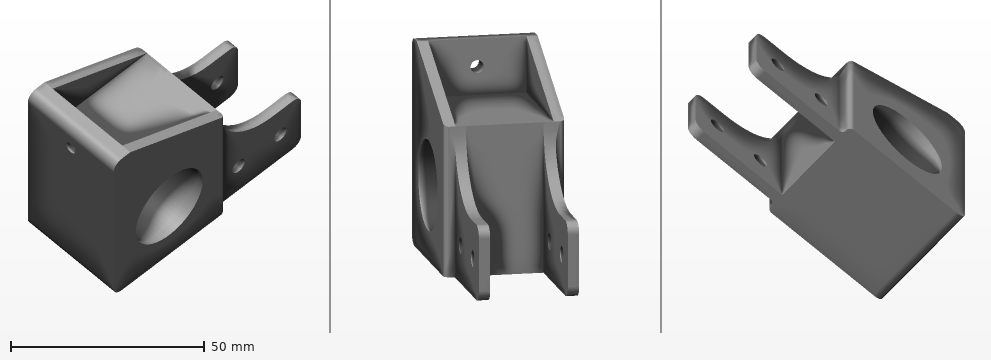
import cadquery as cq
import math

width = 32.0
length = 70.0
height = 55.0
block_length = 40.0
floor_height = 40.0
front_wall = 6.0
side_wall = 3.0
ear_thickness = 3.0
ear_gap = 20.5
ear_height = 20.0
corner_radius = 3.0
step_radius = 1.3
bore_diameter = 24.0
ear_hole_diameter = 4.4
front_hole_diameter = 3.4

ear_outer_x = ear_gap / 2 + ear_thickness
sweep_radius = floor_height - ear_height
sweep_end_y = block_length + sweep_radius
bore_y = block_length / 2
bore_z = ear_height
ear_hole_z = ear_height / 2
ear_hole_pitch = 15.0
ear_hole_end_distance = 7.5
front_hole_z = (floor_height + height) / 2
diagonal = math.sqrt(0.5)


def side_prism():
    """Side outline of block and ears, extended over the full width."""
    outline = (
        cq.Workplane("YZ", origin=(-width / 2, 0, 0))
        .lineTo(length, 0)
        .lineTo(length, ear_height)
        .lineTo(sweep_end_y, ear_height)
        .threePointArc(
            (sweep_end_y - sweep_radius * diagonal, floor_height - sweep_radius * diagonal),
            (block_length, floor_height),
        )
        .lineTo(front_wall, height)
        .lineTo(0, height)
        .close()
        .extrude(width)
    )
    front_edges = outline.edges("|X and <Y")
    ear_edges = outline.edges("|X and >Y")
    return outline.newObject(front_edges.vals() + ear_edges.vals()).fillet(corner_radius)


def plan_prism():
    """Block with two ears, with an S-shaped step on each outer side."""
    plan = cq.Workplane("XY").box(width, block_length, height, centered=(True, False, False))
    for side in (-1, 1):
        ear = (
            cq.Workplane("XY")
            .center(side * (ear_gap + ear_thickness) / 2, 0)
            .box(ear_thickness, length, height, centered=(True, False, False))
        )
        plan = plan.union(ear)
    for side_x in (-width / 2, width / 2, -ear_outer_x, ear_outer_x):
        step_edge = cq.selectors.NearestToPointSelector((side_x, block_length, height / 2))
        plan = plan.edges("|Z").edges(step_edge).fillet(step_radius)
    return plan


def tray():
    """Open space above the floor, between the side walls and behind the front wall."""
    return (
        cq.Workplane("XY", origin=(0, front_wall, floor_height))
        .box(width - 2 * side_wall, length, height, centered=(True, False, False))
    )


def cross_hole(diameter, y, z):
    """Hole along X through the full width."""
    return (
        cq.Workplane("YZ", origin=(-width / 2, y, z))
        .circle(diameter / 2)
        .extrude(width)
    )


def front_hole():
    """Hole along Y through the front wall into the tray."""
    return (
        cq.Workplane("XZ", origin=(0, 0, front_hole_z))
        .circle(front_hole_diameter / 2)
        .extrude(-front_wall)
    )


result = side_prism().intersect(plan_prism())
result = result.cut(tray()).cut(front_hole())
result = result.cut(cross_hole(bore_diameter, bore_y, bore_z))
last_hole_y = length - ear_hole_end_distance
for hole_y in (last_hole_y - ear_hole_pitch, last_hole_y):
    result = result.cut(cross_hole(ear_hole_diameter, hole_y, ear_hole_z))